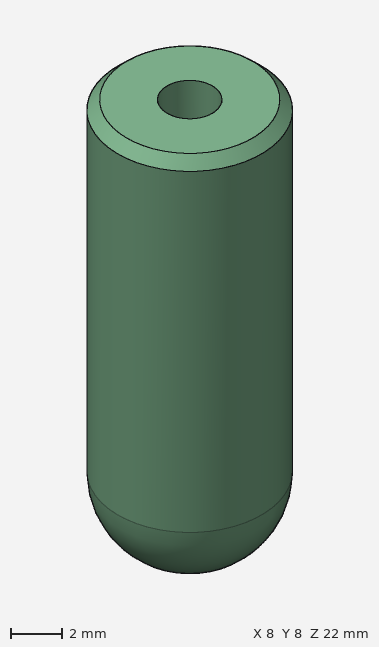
import cadquery as cq

pin_diameter = 8.0
pin_length = 22.0
top_chamfer = 0.5
hole_diameter = 2.5
hole_depth = 8.0

pin_radius = pin_diameter / 2
straight_length = pin_length - pin_radius


def pin_body():
    """Cylinder resting on z = 0 with its top rim chamfered."""
    cylinder = cq.Workplane("XY").circle(pin_radius).extrude(straight_length)
    return cylinder.faces(">Z").chamfer(top_chamfer)


def spherical_tip():
    """Half ball below z = 0, revolved from a quarter disc about the Z axis."""
    arc_middle = cq.Vector(1, -1).normalized() * pin_radius
    quarter_disc = (
        cq.Workplane("XZ")
        .lineTo(pin_radius, 0)
        .threePointArc((arc_middle.x, arc_middle.y), (0, -pin_radius))
        .close()
    )
    return quarter_disc.revolve(360, (0, 0), (0, 1))


def top_hole():
    """Flat-bottomed cutter for the axial hole in the top face."""
    hole_bottom = straight_length - hole_depth
    return (
        cq.Workplane("XY")
        .workplane(offset=hole_bottom)
        .circle(hole_diameter / 2)
        .extrude(hole_depth)
    )


result = pin_body().union(spherical_tip()).cut(top_hole())